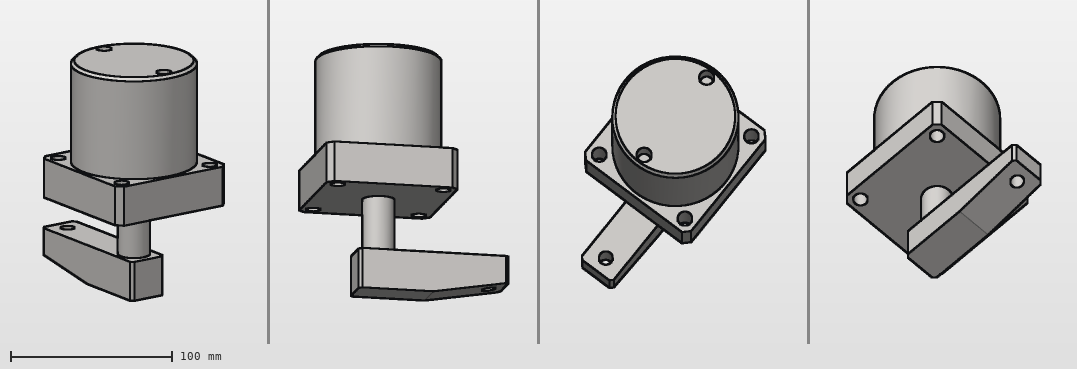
import cadquery as cq


total_height = 149.5

arm_reach = 80.0
arm_heel = 15.0
arm_width = 25.0
arm_height = 25.1
arm_corner_chamfer = 2.0
arm_slope_run = 47.8
arm_slope_rise = 8.0
arm_hole_diameter = 8.5
arm_hole_from_tip = 10.0

flange_side = 83.0
flange_height = 25.1
flange_corner_chamfer = 4.0
flange_hole_diameter = 9.0
flange_hole_spacing = 67.0

cylinder_diameter = 78.0
cylinder_height = 65.0
cylinder_top_chamfer = 2.1
port_mouth_diameter = 9.3
port_floor_diameter = 8.2
port_spacing = 63.0
port_depth = 12.0

rod_diameter = 20.0

cylinder_base = total_height - cylinder_height
flange_base = cylinder_base - flange_height


def make_arm():
    """Clamp arm with chamfered upright corners, a sloped tip and a screw hole."""
    arm = (
        cq.Workplane("XZ")
        .moveTo(-arm_reach, arm_slope_rise)
        .lineTo(-arm_reach + arm_slope_run, 0)
        .lineTo(arm_heel, 0)
        .lineTo(arm_heel, arm_height)
        .lineTo(-arm_reach, arm_height)
        .close()
        .extrude(arm_width / 2, both=True)
        .edges("|Z")
        .chamfer(arm_corner_chamfer)
    )
    screw_hole = (
        cq.Workplane("XY")
        .center(-arm_reach + arm_hole_from_tip, 0)
        .circle(arm_hole_diameter / 2)
        .extrude(arm_height)
    )
    return arm.cut(screw_hole)


def make_rod():
    """Round rod standing on the arm and ending at the underside of the flange."""
    return (
        cq.Workplane("XY", origin=(0, 0, arm_height))
        .circle(rod_diameter / 2)
        .extrude(flange_base - arm_height)
    )


def make_flange():
    """Square mounting flange with chamfered corners and four through holes."""
    return (
        cq.Workplane("XY", origin=(0, 0, flange_base))
        .rect(flange_side, flange_side)
        .extrude(flange_height)
        .edges("|Z")
        .chamfer(flange_corner_chamfer)
        .faces(">Z")
        .workplane()
        .rect(flange_hole_spacing, flange_hole_spacing, forConstruction=True)
        .vertices()
        .hole(flange_hole_diameter)
    )


def make_port(x):
    """Solid in the shape of one port: a cone that narrows from its mouth to its floor."""
    return (
        cq.Workplane("XY", origin=(x, 0, total_height - port_depth))
        .circle(port_floor_diameter / 2)
        .workplane(offset=port_depth)
        .circle(port_mouth_diameter / 2)
        .loft(ruled=True)
    )


def make_cylinder():
    """Cylinder body with a chamfered top rim and two tapered blind ports in its top."""
    body = (
        cq.Workplane("XY", origin=(0, 0, cylinder_base))
        .circle(cylinder_diameter / 2)
        .extrude(cylinder_height)
        .faces(">Z")
        .chamfer(cylinder_top_chamfer)
    )
    for side in (-1, 1):
        body = body.cut(make_port(side * port_spacing / 2))
    return body


arm = make_arm()
rod = make_rod()
flange = make_flange()
cylinder = make_cylinder()

result = cq.Compound.makeCompound([arm.val(), rod.val(), flange.val(), cylinder.val()])